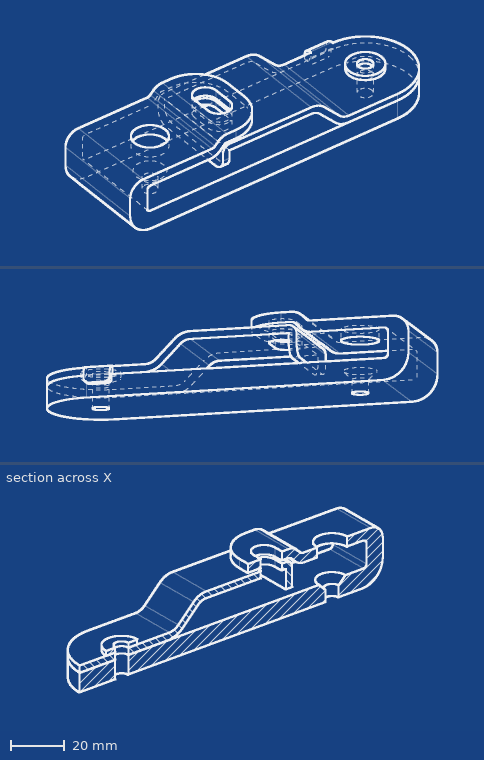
import cadquery as cq
import math

total_length = 144.0
width = 40.0
end_radius = width / 2
front_y = end_radius - total_length
pivot_hole_diameter = 6.0

floor_thickness = 8.4
front_wall_thickness = 7.9
deck_bottom_z = 19.9
deck_top_z = 24.2
nose_bottom_z = 24.0
nose_top_z = 28.0
nose_end_y = -59.9
nose_corner_radius = 15.0
step_top_y = -81.5
step_large_radius = 5.9
step_small_radius = 2.0
bottom_corner_radius = 10.0
top_corner_radius = 6.0
cavity_corner_radius = 1.5

screw_y = -99.8
access_diameter = 14.1
countersink_diameter = 12.5
screw_hole_diameter = 6.0
countersink_angle = 90

slot_y = -71.0
slot_length = 18.3
slot_width = 10.0

strap_thickness = 3.0
strap_low_top_z = floor_thickness + strap_thickness
strap_high_top_z = 22.9
ramp_foot_y = -25.0
foot_bend_radius = 6.0
crest_bend_radius = 8.5
strap_front_y = -81.0
hook_bottom_z = strap_low_top_z
hook_bend_radius = 3.0
hook_corner_radius = 4.9

tab_reach = 4.0
tab_length = 10.1
tab_bottom_z = 4.8
tab_bend_radius = 3.6
tab_corner_radius = 1.9

washer_diameter = 15.0
washer_thickness = 2.0

miter = math.tan(math.radians(45 / 2))

edge_reach = 0.07


def side_profile(points):
    """Extrude a closed (Y, Z) outline across the full width."""
    return cq.Workplane("YZ").polyline(points).close().extrude(width / 2, both=True)


def round_at(body, y, z, radius):
    """Fillet the edge that runs along X through (y, z)."""
    box = cq.selectors.BoxSelector(
        (-width, y - edge_reach, z - edge_reach), (width, y + edge_reach, z + edge_reach)
    )
    return body.edges("|X").edges(box).fillet(radius)


def round_end_blank(top_z):
    """Full-width block with a semicircular end around the pivot, up to top_z."""
    end = cq.Workplane("XY").circle(end_radius).extrude(top_z)
    straight = cq.Workplane("XY").rect(width, -front_y).extrude(top_z).translate((0, front_y / 2, 0))
    return end.union(straight)


def pivot_hole():
    return cq.Workplane("XY").circle(pivot_hole_diameter / 2).extrude(nose_top_z)


def slot_cutter():
    """Slot through everything above the floor."""
    return (
        cq.Workplane("XY", origin=(0, slot_y, floor_thickness))
        .slot2D(slot_length, slot_width)
        .extrude(nose_top_z - floor_thickness)
    )


def make_base():
    wall_inner_y = front_y + front_wall_thickness
    step_foot_y = step_top_y - (nose_top_z - deck_top_z)
    under_top_y = step_top_y + (nose_top_z - nose_bottom_z) * miter
    under_foot_y = under_top_y - (nose_bottom_z - deck_bottom_z)
    body = side_profile([
        (end_radius, 0),
        (front_y, 0),
        (front_y, deck_top_z),
        (step_foot_y, deck_top_z),
        (step_top_y, nose_top_z),
        (nose_end_y, nose_top_z),
        (nose_end_y, nose_bottom_z),
        (under_top_y, nose_bottom_z),
        (under_foot_y, deck_bottom_z),
        (wall_inner_y, deck_bottom_z),
        (wall_inner_y, floor_thickness),
        (end_radius, floor_thickness),
    ])
    bends = [
        (front_y, 0, bottom_corner_radius),
        (front_y, deck_top_z, top_corner_radius),
        (wall_inner_y, deck_bottom_z, cavity_corner_radius),
        (wall_inner_y, floor_thickness, cavity_corner_radius),
        (step_top_y, nose_top_z, step_large_radius),
        (step_foot_y, deck_top_z, step_small_radius),
        (under_top_y, nose_bottom_z, step_small_radius),
        (under_foot_y, deck_bottom_z, step_large_radius),
    ]
    for y, z, radius in bends:
        body = round_at(body, y, z, radius)

    nose_corners = cq.selectors.BoxSelector(
        (-width, nose_end_y - edge_reach, nose_bottom_z),
        (width, nose_end_y + edge_reach, nose_top_z),
    )
    body = body.edges("|Z").edges(nose_corners).fillet(nose_corner_radius)
    body = body.intersect(round_end_blank(nose_top_z))

    body = body.cut(pivot_hole()).cut(slot_cutter())

    access = (
        cq.Workplane("XY", origin=(0, screw_y, deck_bottom_z))
        .circle(access_diameter / 2)
        .extrude(deck_top_z - deck_bottom_z)
    )
    slope = math.tan(math.radians(countersink_angle / 2))
    countersink_depth = (countersink_diameter - screw_hole_diameter) / 2 / slope
    countersink = cq.Workplane(cq.Solid.makeCone(
        screw_hole_diameter / 2,
        countersink_diameter / 2,
        countersink_depth,
        pnt=cq.Vector(0, screw_y, floor_thickness - countersink_depth),
    ))
    screw_hole = (
        cq.Workplane("XY").center(0, screw_y).circle(screw_hole_diameter / 2).extrude(floor_thickness)
    )
    return body.cut(access).cut(screw_hole).cut(countersink)


def make_tab():
    """Side tab that leaves the strap edge and bends down beside the base."""
    edge_x = -width / 2
    outer_x = edge_x - tab_reach
    inner_x = outer_x + strap_thickness
    bend_x = outer_x + tab_bend_radius
    bend_z = strap_low_top_z - tab_bend_radius
    inner_bend_radius = tab_bend_radius - strap_thickness
    diagonal = math.sqrt(0.5)
    tab = (
        cq.Workplane("XZ")
        .moveTo(edge_x, strap_low_top_z)
        .lineTo(bend_x, strap_low_top_z)
        .threePointArc(
            (bend_x - tab_bend_radius * diagonal, bend_z + tab_bend_radius * diagonal),
            (outer_x, bend_z),
        )
        .lineTo(outer_x, tab_bottom_z)
        .lineTo(inner_x, tab_bottom_z)
        .lineTo(inner_x, bend_z)
        .threePointArc(
            (bend_x - inner_bend_radius * diagonal, bend_z + inner_bend_radius * diagonal),
            (bend_x, floor_thickness),
        )
        .lineTo(edge_x, floor_thickness)
        .close()
        .extrude(tab_length)
    )
    return tab.faces("<Z").edges("|X").fillet(tab_corner_radius)


def make_strap():
    ramp_top_y = ramp_foot_y - (strap_high_top_z - strap_low_top_z)
    miter_shift = strap_thickness * miter
    high_bottom_z = strap_high_top_z - strap_thickness
    hook_inner_y = strap_front_y + strap_thickness
    body = side_profile([
        (end_radius, floor_thickness),
        (end_radius, strap_low_top_z),
        (ramp_foot_y, strap_low_top_z),
        (ramp_top_y, strap_high_top_z),
        (strap_front_y, strap_high_top_z),
        (strap_front_y, hook_bottom_z),
        (hook_inner_y, hook_bottom_z),
        (hook_inner_y, high_bottom_z),
        (ramp_top_y - miter_shift, high_bottom_z),
        (ramp_foot_y - miter_shift, floor_thickness),
    ])
    bends = [
        (ramp_foot_y, strap_low_top_z, foot_bend_radius),
        (ramp_foot_y - miter_shift, floor_thickness, foot_bend_radius + strap_thickness),
        (ramp_top_y, strap_high_top_z, crest_bend_radius),
        (ramp_top_y - miter_shift, high_bottom_z, crest_bend_radius - strap_thickness),
        (strap_front_y, strap_high_top_z, hook_bend_radius),
    ]
    for y, z, radius in bends:
        body = round_at(body, y, z, radius)

    hook_tip = cq.selectors.BoxSelector(
        (-width, strap_front_y - edge_reach, hook_bottom_z - edge_reach),
        (width, hook_inner_y + edge_reach, hook_bottom_z + edge_reach),
    )
    body = body.edges("|Y").edges(hook_tip).fillet(hook_corner_radius)

    body = body.intersect(round_end_blank(strap_high_top_z))
    return body.union(make_tab()).cut(pivot_hole()).cut(slot_cutter())


def make_washer():
    return (
        cq.Workplane("XY", origin=(0, 0, strap_low_top_z))
        .circle(washer_diameter / 2)
        .circle(pivot_hole_diameter / 2)
        .extrude(washer_thickness)
    )


base = make_base()
strap = make_strap()
washer = make_washer()
result = cq.Compound.makeCompound([base.val(), strap.val(), washer.val()])